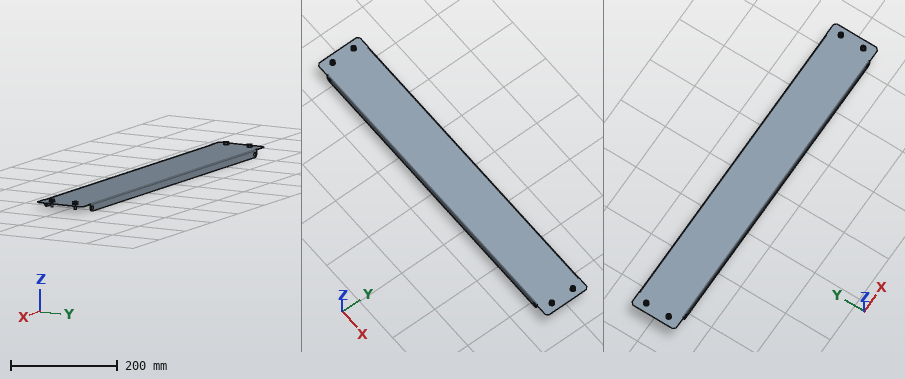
import cadquery as cq

panel_length = 696.0
panel_width = 99.0
sheet_thickness = 1.0
corner_chamfer = 5.0

flange_length = 635.5
flange_depth = 14.5
bend_radius = 1.95
flange_corner_radius = 9.0
flange_hole_diameter = 7.0
flange_hole_span = 619.5
flange_hole_drop = 8.5

screw_span_x = 664.0
screw_span_y = 50.0
shank_diameter = 4.0
shank_reach = 10.0
head_diameter = 10.0
recess_diameter = 5.5
recess_depth = 2.0
washer_diameter = 10.5
washer_thickness = 1.05

total_height = 19.5
head_height = total_height - flange_depth - washer_thickness

screw_places = [
    (side_x * screw_span_x / 2, side_y * screw_span_y / 2)
    for side_x in (-1, 1)
    for side_y in (-1, 1)
]


def block_below(length, width, depth, top=0.0):
    """A box centred on the Z axis that hangs down from the height `top`."""
    bottom = top - depth
    return cq.Workplane("XY").workplane(offset=bottom).box(length, width, depth, centered=(True, True, False))


def make_plate():
    """The flat sheet with cut corners, left open where the folded channel goes."""
    sheet = block_below(panel_length, panel_width, sheet_thickness).edges("|Z").chamfer(corner_chamfer)
    return sheet.cut(block_below(flange_length, panel_width, sheet_thickness))


def make_channel():
    """The middle of the sheet with both flanges folded down."""
    outside = block_below(flange_length, panel_width, flange_depth).edges("|X and >Z").fillet(bend_radius)
    inside_width = panel_width - 2 * sheet_thickness
    inside = block_below(flange_length, inside_width, flange_depth, top=-sheet_thickness)
    inside = inside.edges("|X and >Z").fillet(bend_radius - sheet_thickness)
    return outside.cut(inside).edges("|Y and <Z").fillet(flange_corner_radius)


def make_panel():
    """The folded sheet, with two holes through both flanges and four for the screws."""
    flange_holes = (
        cq.Workplane("XZ")
        .pushPoints([(side * flange_hole_span / 2, -flange_hole_drop) for side in (-1, 1)])
        .circle(flange_hole_diameter / 2)
        .extrude(panel_width / 2, both=True)
    )
    screw_holes = (
        cq.Workplane("XY")
        .pushPoints(screw_places)
        .circle(shank_diameter / 2)
        .extrude(-sheet_thickness)
    )
    return make_plate().union(make_channel()).cut(flange_holes).cut(screw_holes)


def make_screw(x, y):
    """A cylinder-head screw with a round recess; its head sits on the washer."""
    head = (
        cq.Workplane("XY", origin=(x, y, washer_thickness))
        .circle(head_diameter / 2)
        .extrude(head_height)
    )
    shank = (
        cq.Workplane("XY", origin=(x, y, washer_thickness))
        .circle(shank_diameter / 2)
        .extrude(-washer_thickness - shank_reach)
    )
    screw = head.union(shank)
    return screw.faces(">Z").workplane(origin=(x, y)).circle(recess_diameter / 2).cutBlind(-recess_depth)


def make_washer(x, y):
    """A flat ring that lies on the panel around a screw shank."""
    return (
        cq.Workplane("XY", origin=(x, y, 0))
        .circle(washer_diameter / 2)
        .circle(shank_diameter / 2)
        .extrude(washer_thickness)
    )


panel = make_panel()
screws = [make_screw(x, y).val() for x, y in screw_places]
washers = [make_washer(x, y).val() for x, y in screw_places]

result = cq.Compound.makeCompound([panel.val(), *screws, *washers])